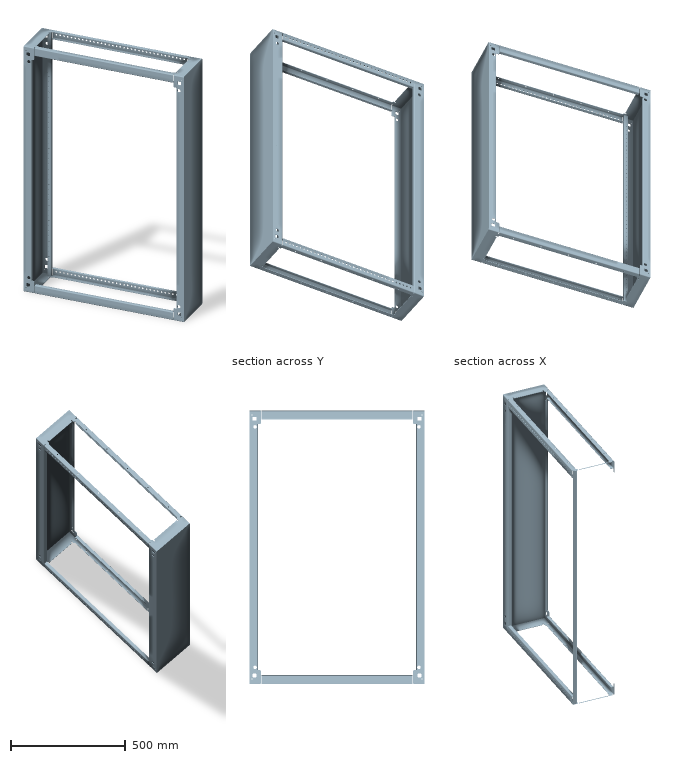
import cadquery as cq

WIDTH = 764.0
DEPTH = 200.0
HEIGHT = 1194.0

SHEET = 2.0
BEND = 3.8
INNER_BEND = BEND - SHEET

RAIL_HEIGHT = 39.0
RAIL_FLANGE = 20.0
RAIL_LIP = 14.0
CORNER_WIDTH = 50.0
RAIL_GAP = 2.0
RAIL_LENGTH = WIDTH - 2 * (CORNER_WIDTH + RAIL_GAP)
WINDOW_LENGTH = WIDTH - 2 * CORNER_WIDTH
WINDOW_DEPTH = DEPTH - 2 * RAIL_FLANGE
WINDOW_CORNER = 10.0
EDGE_NOTCH_LENGTH = 7.0
EDGE_NOTCH_WIDTH = 5.0
EDGE_NOTCH_Y = 72.0
RELIEF_WIDTH = 5.0
RELIEF_DEPTH = 10.0

RAIL_HOLE_COUNT = 5
RAIL_HOLE_PITCH = 130.0
RAIL_HOLE_INSET = 13.0
RAIL_HOLE_DIAMETER = 6.0
REAR_RAIL_HOLE_COUNT = 36
REAR_RAIL_HOLE_PITCH = 18.0
REAR_RAIL_HOLE_DIAMETER = 8.0
REAR_RAIL_HOLE_DROP = 20.0

FRONT_FLANGE = 36.0
FRONT_RETURN = 12.0
CORNER_PLATE_HEIGHT = 60.0
CORNER_PLATE_RADIUS = 6.0
CHANNEL_DEPTH = 20.0
CHANNEL_LIP = 17.0

PERFORATION_COUNT = 43
PERFORATION_END = 72.0
PERFORATION_PITCH = (HEIGHT - 2 * PERFORATION_END) / (PERFORATION_COUNT - 1)
PERFORATION_DIAMETER = 4.2
PERFORATION_INSET = 40.0

SQUARE_HOLE = 17.0
SQUARE_HOLE_RADIUS = 4.0
SQUARE_HOLE_INSET = 21.0
SQUARE_HOLE_END = 36.0
ROUND_HOLE_DIAMETER = 15.0
ROUND_HOLE_INSET = 24.0
ROUND_HOLE_END = 72.0
PILOT_HOLE_DIAMETER = 5.0
PILOT_HOLE_INSET = 11.0
PILOT_HOLE_END = 20.0


def block(x_range, y_range, z_range):
    """Box spanning the given (low, high) limits."""
    spans = [high - low for low, high in (x_range, y_range, z_range)]
    corner = (x_range[0], y_range[0], z_range[0])
    return cq.Workplane("XY").box(*spans, centered=False).translate(corner)


def envelope():
    """Outer block with its four long X edges rounded by the sheet bends."""
    body = cq.Workplane("XY").box(WIDTH, DEPTH, HEIGHT, centered=(True, True, False))
    return body.edges("|X").fillet(BEND)


def front_rail():
    """Channel below the top plate, opening to the rear, with a shorter lower lip."""
    front = -DEPTH / 2
    half = RAIL_LENGTH / 2
    base = HEIGHT - RAIL_HEIGHT
    rail = block((-half, half), (front, front + RAIL_FLANGE), (base, HEIGHT))
    rail = rail.edges("|X and <Y").fillet(BEND)
    hollow = block((-half, half), (front + SHEET, front + RAIL_FLANGE), (base + SHEET, HEIGHT - SHEET))
    hollow = hollow.edges("|X and <Y").fillet(INNER_BEND)
    lip_trim = block((-half, half), (front + RAIL_LIP, front + RAIL_FLANGE), (base, base + SHEET))
    return rail.cut(hollow).cut(lip_trim)


def end_plate():
    """Top plate, curled down along its front and rear edges, with the large window."""
    plate = envelope().intersect(
        block((-WIDTH / 2, WIDTH / 2), (-DEPTH / 2, DEPTH / 2), (HEIGHT - BEND, HEIGHT))
    )
    below = block(
        (-WIDTH / 2, WIDTH / 2),
        (-DEPTH / 2 + SHEET, DEPTH / 2 - SHEET),
        (HEIGHT - RAIL_HEIGHT, HEIGHT - SHEET),
    )
    below = below.edges("|X and >Z").fillet(INNER_BEND)
    window = cq.Workplane("XY").box(WINDOW_LENGTH, WINDOW_DEPTH, HEIGHT, centered=(True, True, False))
    window = window.edges("|Z").chamfer(WINDOW_CORNER).translate((0, 0, HEIGHT / 2))
    plate = plate.cut(below).cut(window)
    notches = cq.Workplane("XY", origin=(0, 0, HEIGHT - SHEET))
    notches = notches.rect(WINDOW_LENGTH, 2 * EDGE_NOTCH_Y, forConstruction=True).vertices()
    notches = notches.rect(2 * EDGE_NOTCH_LENGTH, EDGE_NOTCH_WIDTH).extrude(SHEET)
    reliefs = cq.Workplane("XY", origin=(0, 0, HEIGHT - BEND))
    reliefs = reliefs.rect(WINDOW_LENGTH, DEPTH, forConstruction=True).vertices()
    reliefs = reliefs.rect(RELIEF_WIDTH, 2 * RELIEF_DEPTH).extrude(BEND)
    return plate.cut(notches).cut(reliefs)


def rail_holes():
    """Vertical holes along the flanges of both rails."""
    holes = cq.Workplane("XY", origin=(0, 0, HEIGHT - SHEET))
    row_gap = DEPTH - 2 * RAIL_HOLE_INSET
    holes = holes.rarray(RAIL_HOLE_PITCH, row_gap, RAIL_HOLE_COUNT, 2)
    return holes.circle(RAIL_HOLE_DIAMETER / 2).extrude(SHEET)


def rear_rail_holes():
    """Row of holes through the upright face of the rear rail."""
    holes = cq.Workplane("XZ", origin=(0, DEPTH / 2, HEIGHT - REAR_RAIL_HOLE_DROP))
    holes = holes.rarray(REAR_RAIL_HOLE_PITCH, 12, REAR_RAIL_HOLE_COUNT, 1)
    return holes.circle(REAR_RAIL_HOLE_DIAMETER / 2).extrude(SHEET)


def top_tray():
    """Ring plate with a rail folded down along the front and the rear."""
    front = front_rail()
    tray = end_plate().union(front).union(front.mirror("XZ"))
    return tray.cut(rail_holes()).cut(rear_rail_holes())


def upside_down(body):
    """Mirror image about mid-height."""
    return body.mirror("XY", (0, 0, HEIGHT / 2))


def front_flange(outer):
    """Narrow front flange with a folded return, widening to a plate at each end."""
    front = -DEPTH / 2
    inner = outer + FRONT_FLANGE
    straight = (CORNER_PLATE_HEIGHT, HEIGHT - CORNER_PLATE_HEIGHT)
    fold = block((outer, inner), (front, front + FRONT_RETURN), straight)
    fold = fold.edges("|Z and >X and <Y").fillet(BEND)
    hollow = block((outer, inner - SHEET), (front + SHEET, front + FRONT_RETURN), straight)
    hollow = hollow.edges("|Z and >X and <Y").fillet(INNER_BEND)
    flange = fold.cut(hollow)
    plate = block(
        (outer, outer + CORNER_WIDTH),
        (front, front + SHEET),
        (HEIGHT - CORNER_PLATE_HEIGHT, HEIGHT),
    )
    plate = plate.edges("|Y and >X and <Z").fillet(CORNER_PLATE_RADIUS)
    return flange.union(plate).union(upside_down(plate))


def rear_channel(outer):
    """Rear flange folded forward and then back towards the wall, with a row of holes."""
    rear = DEPTH / 2
    face = rear - CHANNEL_DEPTH
    inner = outer + CORNER_WIDTH
    channel = block((outer, inner), (face, rear), (0, HEIGHT))
    channel = channel.edges("|Z and >X").fillet(BEND)
    hollow = block((outer, inner - SHEET), (face + SHEET, rear - SHEET), (0, HEIGHT))
    hollow = hollow.edges("|Z and >X").fillet(INNER_BEND)
    lip_trim = block((outer, inner - CHANNEL_LIP), (face, face + SHEET), (0, HEIGHT))
    holes = cq.Workplane("XZ", origin=(outer + PERFORATION_INSET, face + SHEET, HEIGHT / 2))
    holes = holes.rarray(12, PERFORATION_PITCH, 1, PERFORATION_COUNT)
    holes = holes.circle(PERFORATION_DIAMETER / 2).extrude(SHEET)
    return channel.cut(hollow).cut(lip_trim).cut(holes)


def corner_fixings(outer):
    """Cutters for the square, round and pilot holes at the upper corner, front to rear."""

    def hole_plane(inset, end):
        return cq.Workplane("XZ", origin=(outer + inset, DEPTH / 2, HEIGHT - end))

    square = hole_plane(SQUARE_HOLE_INSET, SQUARE_HOLE_END).rect(SQUARE_HOLE, SQUARE_HOLE)
    square = square.extrude(DEPTH).edges("|Y").fillet(SQUARE_HOLE_RADIUS)
    round_hole = hole_plane(ROUND_HOLE_INSET, ROUND_HOLE_END).circle(ROUND_HOLE_DIAMETER / 2)
    pilot = hole_plane(PILOT_HOLE_INSET, PILOT_HOLE_END).circle(PILOT_HOLE_DIAMETER / 2)
    return square.add(round_hole.extrude(DEPTH)).add(pilot.extrude(DEPTH)).combine()


def left_panel(trays):
    """Wall with its front flange and rear channel, fitted between the two trays."""
    outer = -WIDTH / 2
    panel = block((outer, outer + SHEET), (-DEPTH / 2, DEPTH / 2), (0, HEIGHT))
    panel = panel.union(front_flange(outer)).union(rear_channel(outer))
    panel = panel.intersect(envelope())
    fixings = corner_fixings(outer)
    panel = panel.cut(fixings).cut(upside_down(fixings))
    for tray in trays:
        panel = panel.cut(tray)
    return panel


upper_tray = top_tray()
lower_tray = upside_down(upper_tray)
left_side = left_panel([upper_tray, lower_tray])
right_side = left_side.mirror("YZ")

bodies = [upper_tray, lower_tray, left_side, right_side]
result = cq.Compound.makeCompound([body.solids().val() for body in bodies])